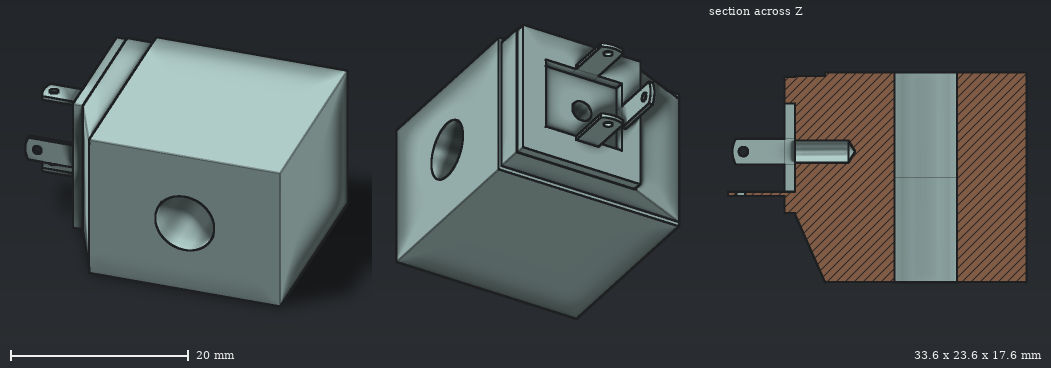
import cadquery as cq
import math


body_length = 22.7
body_width = 23.6
body_height = 17.6
body_fillet = 0.1
bore_diameter = 7.0

wedge_length = 3.35
plate_length = 1.2
wedge_height = 16.45
plate_side_inset = 0.5
plate_width = 15.35
plate_step = 0.15
plate_height = 16.35
pedestal_fillet = 0.1

recess_width = 9.9
recess_height = 8.9
recess_depth = 1.2
recess_side_y = -1.6

screw_hole_diameter = 2.5
screw_hole_depth = 6.0
drill_point_angle = 118.0

blade_width = 2.9
blade_thickness = 0.5
blade_root = recess_depth
blade_tip_rise = 0.35
blade_hole_diameter = 1.0
contact_y = 2.9
line_blade_length = 5.85
line_blade_hole_setback = 1.25
earth_blade_length = 6.35
earth_blade_hole_setback = 1.45

body_face_x = -body_length / 2
plate_back_x = body_face_x - wedge_length
plate_face_x = plate_back_x - plate_length
recess_floor_x = plate_face_x + recess_depth
body_side_y = body_width / 2
plate_top_y = body_side_y - plate_side_inset
plate_low_y = plate_top_y - plate_width


def make_body():
    """Housing block, rounded on every edge except those of the connector side."""
    block = cq.Workplane("XY").box(body_length, body_width, body_height)
    return block.edges("|X or >X").fillet(body_fillet)


def make_wedge():
    """Pedestal base that tapers from the plate to the full housing width."""
    wedge_top_y = plate_top_y + plate_step
    outline = [
        (body_face_x, wedge_top_y),
        (plate_back_x, wedge_top_y),
        (plate_back_x, plate_low_y - plate_step),
        (body_face_x, -body_side_y),
    ]
    wedge = (
        cq.Workplane("XY", origin=(0, 0, -wedge_height / 2))
        .polyline(outline)
        .close()
        .extrude(wedge_height)
    )
    long_edges = wedge.edges("not(|Z or <X or >X)")
    return long_edges.fillet(pedestal_fillet)


def make_plate():
    """Straight plate that carries the contacts."""
    plate = cq.Workplane("XY").box(plate_length, plate_width, plate_height)
    center_x = plate_face_x + plate_length / 2
    center_y = plate_top_y - plate_width / 2
    return plate.edges("|X").fillet(pedestal_fillet).translate((center_x, center_y, 0))


def make_recess():
    """Cutter for the rectangular recess."""
    return cq.Workplane("XY").box(recess_depth, recess_width, recess_height).translate(
        (plate_face_x + recess_depth / 2, recess_side_y + recess_width / 2, 0)
    )


def make_screw_hole():
    """Cutter for the blind hole with its drill point, along +X."""
    radius = screw_hole_diameter / 2
    point_length = radius / math.tan(math.radians(drill_point_angle / 2))
    shoulder_x = recess_floor_x + screw_hole_depth
    profile = [
        (recess_floor_x, 0),
        (recess_floor_x, radius),
        (shoulder_x, radius),
        (shoulder_x + point_length, 0),
    ]
    hole = cq.Workplane("XY").polyline(profile).close().revolve(360, (0, 0, 0), (1, 0, 0))
    return hole.translate((0, contact_y, 0))


def make_blade(length, hole_setback):
    """Blade lying flat in XY, centred on the X axis, projecting from the plate face."""
    tip_x = plate_face_x - length
    shoulder_x = tip_x + blade_tip_rise
    root_x = plate_face_x + blade_root
    half_width = blade_width / 2
    blade = (
        cq.Workplane("XY", origin=(0, 0, -blade_thickness / 2))
        .moveTo(root_x, -half_width)
        .lineTo(shoulder_x, -half_width)
        .threePointArc((tip_x, 0), (shoulder_x, half_width))
        .lineTo(root_x, half_width)
        .close()
        .extrude(blade_thickness)
    )
    hole = (
        cq.Workplane("XY", origin=(tip_x + hole_setback, 0, -blade_thickness))
        .circle(blade_hole_diameter / 2)
        .extrude(2 * blade_thickness)
    )
    return blade.cut(hole)


bore = cq.Workplane("XZ").circle(bore_diameter / 2).extrude(body_width, both=True)

result = make_body().cut(bore)
result = result.union(make_wedge()).union(make_plate())
result = result.cut(make_recess()).cut(make_screw_hole())

line_blade_z = (recess_height + blade_thickness) / 2
for z in (line_blade_z, -line_blade_z):
    line_blade = make_blade(line_blade_length, line_blade_hole_setback)
    result = result.union(line_blade.translate((0, contact_y, z)))

earth_blade_y = recess_side_y - blade_thickness / 2
earth_blade = make_blade(earth_blade_length, earth_blade_hole_setback)
earth_blade = earth_blade.rotate((0, 0, 0), (1, 0, 0), 90)
result = result.union(earth_blade.translate((0, earth_blade_y, 0)))